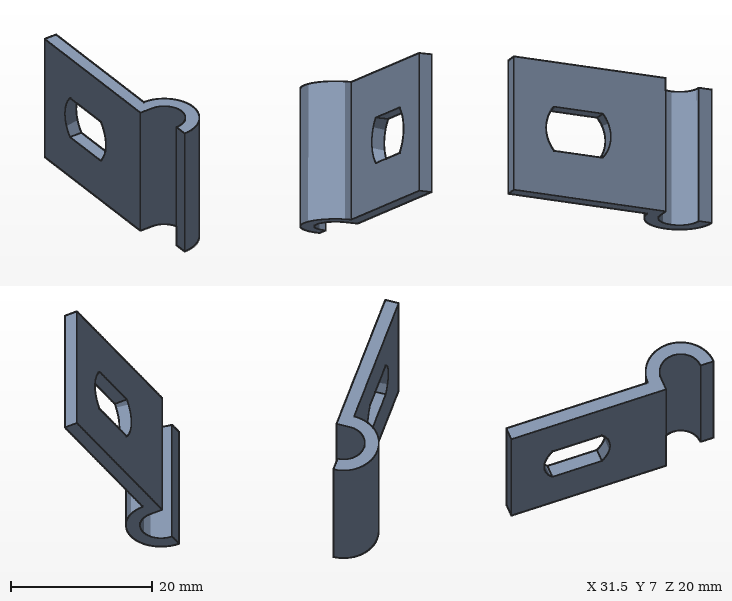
import cadquery as cq

length = 31.5
height = 20.0
thickness = 2.0
hook_inner_radius = 3.0
hole_diameter = 10.0
hole_flat_distance = 6.6
hole_center_x = 10.0

hook_outer_radius = hook_inner_radius + thickness
hook_center_x = length - hook_outer_radius
plate_end_x = hook_center_x - hook_inner_radius
hole_center_z = height / 2


def make_clip():
    """Flat plate running into a half-round hook, extruded upwards."""
    return (
        cq.Workplane("XY")
        .moveTo(0, 0)
        .lineTo(plate_end_x, 0)
        .lineTo(plate_end_x, thickness)
        .threePointArc(
            (hook_center_x, thickness + hook_inner_radius),
            (hook_center_x + hook_inner_radius, thickness),
        )
        .lineTo(length, thickness)
        .threePointArc(
            (hook_center_x, thickness + hook_outer_radius),
            (hook_center_x - hook_outer_radius, thickness),
        )
        .lineTo(0, thickness)
        .close()
        .extrude(height)
    )


def make_hole_cutter():
    """Round hole through the plate, flattened at its top and bottom."""
    hole_plane = cq.Workplane("XZ", origin=(hole_center_x, 0, hole_center_z))
    round_hole = hole_plane.circle(hole_diameter / 2).extrude(-thickness)
    flats = hole_plane.rect(hole_diameter, hole_flat_distance).extrude(-thickness)
    return round_hole.intersect(flats)


result = make_clip().cut(make_hole_cutter())